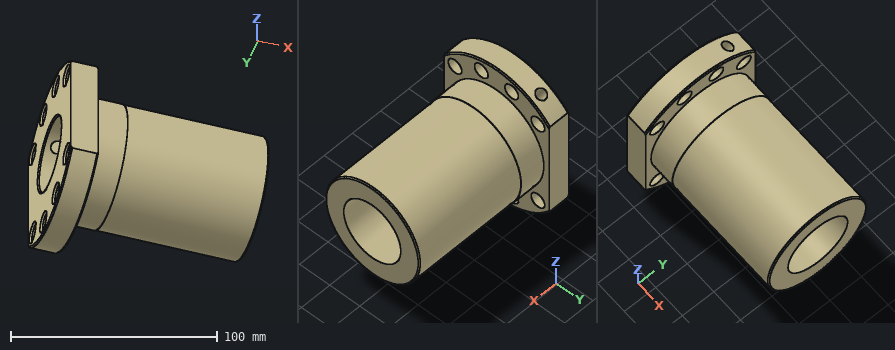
import cadquery as cq
import math

length = 102.0
flange_diameter = 93.0
flange_thickness = 14.0
flange_width = 70.0
flange_chamfer = 0.7

seat_diameter = 63.0
seat_end = 30.0
body_diameter = 62.6
body_chamfer = 0.7

bore_diameter = 37.9
bore_chamfer = 0.7

bolt_circle_diameter = 78.0
bolt_hole_diameter = 9.0
bolt_hole_chamfer = 1.0
bolt_angles = (45, 75)

oil_hole_diameter = 6.4
oil_hole_angle = sum(bolt_angles) / 2


def cylinder(diameter, start, end, y=0, z=0):
    """Cylinder along X from start to end, with its axis at (y, z)."""
    axis_point = cq.Vector(start, y, z)
    return cq.Workplane(cq.Solid.makeCylinder(diameter / 2, end - start, axis_point, cq.Vector(1, 0, 0)))


def countersink(diameter, depth, face_x, direction, y=0, z=0):
    """Conical 45 degree edge break going inward from the face at face_x."""
    return cq.Workplane(
        cq.Solid.makeCone(
            diameter / 2 + depth, diameter / 2, depth,
            cq.Vector(face_x, y, z), cq.Vector(direction, 0, 0),
        )
    )


def make_flange():
    disc = cylinder(flange_diameter, 0, flange_thickness).edges().chamfer(flange_chamfer)
    flats = cq.Workplane().box(2 * flange_thickness, flange_width, flange_diameter)
    return disc.intersect(flats)


def make_sleeve():
    seat = cylinder(seat_diameter, 0, seat_end)
    body = cylinder(body_diameter, 0, length).faces(">X").edges().chamfer(body_chamfer)
    return seat.union(body)


def cut_bore(part):
    part = part.cut(cylinder(bore_diameter, 0, length))
    return part.cut(countersink(bore_diameter, bore_chamfer, 0, 1))


def cut_bolt_holes(part):
    for first_angle in bolt_angles:
        for angle in (first_angle, 180 - first_angle, 180 + first_angle, -first_angle):
            y = bolt_circle_diameter / 2 * math.cos(math.radians(angle))
            z = bolt_circle_diameter / 2 * math.sin(math.radians(angle))
            part = part.cut(cylinder(bolt_hole_diameter, 0, flange_thickness, y, z))
            part = part.cut(countersink(bolt_hole_diameter, bolt_hole_chamfer, 0, 1, y, z))
    return part


def cut_oil_hole(part):
    direction = cq.Vector(
        0, math.cos(math.radians(oil_hole_angle)), math.sin(math.radians(oil_hole_angle))
    )
    start = cq.Vector(flange_thickness / 2, 0, 0)
    hole = cq.Solid.makeCylinder(oil_hole_diameter / 2, flange_diameter, start, direction)
    return part.cut(cq.Workplane(hole))


result = make_flange().union(make_sleeve())
result = cut_bore(result)
result = cut_bolt_holes(result)
result = cut_oil_hole(result)